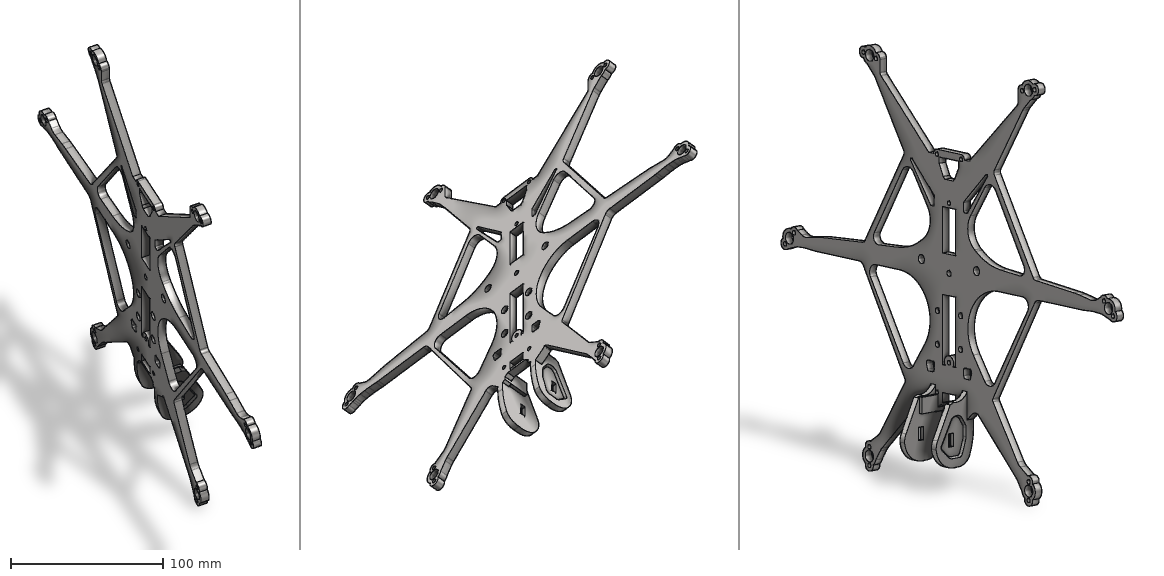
import cadquery as cq
import math

PLATE_T = 6.0
DEPTH = 33.3
SPAN_X = 326.8
HEIGHT_Z = 285.0

BORE_D = 8.0
SCREW_D = 3.0
PAD_R = 6.5
EAR_R = 4.0
SCREW_OFFSET = 6.2
UPPER_EAR_ANGLE = -11.5
MIDDLE_EAR_ANGLE = 45.0
LOWER_EAR_ANGLE = 90.0
EAR_REACH_X = SCREW_OFFSET * math.cos(math.radians(MIDDLE_EAR_ANGLE)) + EAR_R
UPPER_MOUNT = (-77.0, HEIGHT_Z / 2 - PAD_R)
MIDDLE_MOUNT = (EAR_REACH_X - SPAN_X / 2, 1.5)
LOWER_MOUNT = (-77.5, SCREW_OFFSET + EAR_R - HEIGHT_Z / 2)
MOUNTS = [
    (UPPER_MOUNT, UPPER_EAR_ANGLE),
    (MIDDLE_MOUNT, MIDDLE_EAR_ANGLE),
    (LOWER_MOUNT, LOWER_EAR_ANGLE),
]

EDGE_SCREW_X = 11.8
EDGE_SCREW_Z = 79.7
EDGE_EAR_R = 3.3
TOP_Z = EDGE_SCREW_Z + EDGE_EAR_R

LUG_OUTER_X = -17.5
LUG_T = 4.5

GUSSET_OUTER_X = -14.7
GUSSET_INNER_X = -10.8
GUSSET_TOP_Z = -81.0
GUSSET_BOTTOM_Z = -92.0
GUSSET_BACK_Y = 20.0

NOTCH_TOP_Z = -87.5
ARM_BOTTOM_Z = -3.3

HALF_OUTLINE = [
    (0, TOP_Z, 0),
    (-EDGE_SCREW_X, TOP_Z, 0),
    (-15.0, 79.7, 0),
    (-19.5, 79.7, 0),
    (-67.0, 124.8, 2.5),
    (-67.0, 137.2, 2.3),
    (*UPPER_MOUNT, 0),
    (-83.0, 133.3, 0),
    (-72.2, 122.5, 9.8),
    (-43.0, 75.8, 3.3),
    (-82.7, 9.8, 3.3),
    (-124.2, 7.0, 65.5),
    (-140.5, 4.2, 8.2),
    (-149.5, 9.5, 0),
    (*MIDDLE_MOUNT, 0),
    (-158.0, -6.2, 0),
    (-148.7, -3.1, 16.5),
    (-140.5, -2.5, 32.7),
    (-130.7, ARM_BOTTOM_Z, 32.7),
    (-84.5, ARM_BOTTOM_Z, 5.0),
    (-42.0, -76.8, 2.0),
    (-67.5, -116.3, 9.8),
    (-76.5, -122.2, 0),
    (*LOWER_MOUNT, 0),
    (-74.0, -138.2, 0),
    (-66.0, -126.0, 13.0),
    (-25.8, -86.3, 4.5),
    (LUG_OUTER_X, -93.8, 0),
    (LUG_OUTER_X + LUG_T, -93.0, 0),
    (GUSSET_INNER_X, GUSSET_BOTTOM_Z, 0),
    (GUSSET_INNER_X, -89.5, 0),
    (-8.2, NOTCH_TOP_Z, 0),
    (0, NOTCH_TOP_Z, 0),
]

UPPER_WINDOW = [
    (-40.2, 72.5, 6.2),
    (-77.5, 9.8, 5.0),
    (-37.0, 12.5, 45.7),
    (-12.5, 30.5, 16.5),
]
LOWER_WINDOW = [(-81.7, ARM_BOTTOM_Z, 6.0), (-40.0, -73.0, 6.0), (8.2, ARM_BOTTOM_Z, 29.5)]
DIAGONAL_SLOT = [
    (-38.2, 73.2, 0.5),
    (-36.0, 73.2, 0.5),
    (-14.5, 51.5, 1.0),
    (-14.5, 44.5, 1.0),
    (-17.5, 44.5, 1.0),
]
CABLE_HOLE = [(-22.5, -59.5, 2.0), (-14.5, -59.5, 1.0), (-14.5, -66.5, 2.0), (-20.5, -66.5, 1.3)]
HALF_OPENINGS = [UPPER_WINDOW, LOWER_WINDOW, DIAGONAL_SLOT, CABLE_HOLE]

SLOT_W = 12.5
CENTRE_SLOTS_Z = [(14.5, 45.5), (-60.5, -13.5), (-85.5, -79.0)]
TOP_OPENING = [
    (-9.5, 78.0), (-9.5, 74.0), (-5.5, 65.7), (-4.0, 64.0),
    (4.0, 64.0), (5.5, 65.7), (9.5, 74.0), (9.5, 78.0),
]
TONGUE_Z = -58.0
TONGUE_R = 4.5

CENTRE_HOLES = [(0, 48.7, 3.0), (0, 1.5, 4.0), (0, TONGUE_Z, 3.0)]
SIDE_HOLES = [
    (-26.8, 7.2, 6.0),
    (-EDGE_SCREW_X, EDGE_SCREW_Z, SCREW_D),
    (-EDGE_SCREW_X, -EDGE_SCREW_Z, SCREW_D),
]

BOARD_PITCH = 22.5
BOARD_Z = -36.3
BOARD_HOLE_D = 4.0
BOARD_BORE_D = 6.0
BOARD_BORE_DEPTH = 3.0

RECESS_DEPTH = 1.5
RECESS_TAPER = 35
LUG_WINDOW_Y = 18.5
LUG_WINDOW_Z = -106.0
LUG_WINDOW_W = 4.0
LUG_WINDOW_H = 8.8
RECESS = [
    (15.5, -84.0, 5.5),
    (29.5, -110.0, 2.3),
    (21.0, -118.0, 5.0),
    (10.8, -118.0, 3.3),
    (7.0, -106.2, 9.8),
    (7.0, -97.5, 3.3),
]

LUG_FRONT_TOP = (0, -91.5)
LUG_FRONT_FOOT = (0, -99.3)
LUG_FOOT_MID = (1.0, -108.8)
LUG_FOOT_END = (3.5, -118.0)
LUG_HEEL_MID = (8.0, -122.5)
LUG_BOTTOM = (15.0, -124.2)
LUG_BELLY_MID = (28.0, -120.2)
LUG_BACK = (DEPTH, -110.0)
LUG_BACK_MID = (33.0, -107.0)
LUG_SLOPE_FOOT = (32.0, -104.2)
LUG_SLOPE_TOP = (21.0, -81.7)
LUG_SHOULDER = (17.5, -80.5)
LUG_NECK_MID = (8.8, -78.5)
LUG_NECK_END = (PLATE_T, -74.8)
LUG_ROOT = (PLATE_T, -91.5)

FLARE_X = 1.5
FLARE_Y = 3.0
FLARE_BEND = 0.3
FLARE_TOP_Z = -80.5
FLARE_BOTTOM_Z = -91.5

FOOT_WEB = [(17.3, -95.5), (17.3, -91.5), (23.5, -87.5), (26.8, -88.2)]


def rounded_wire(plane, corners):
    """Closed outline through corners (u, v, radius), each rounded by a tangent arc."""
    count = len(corners)
    path = None
    for i, (u, v, radius) in enumerate(corners):
        corner = cq.Vector(u, v)
        to_last = (cq.Vector(*corners[i - 1][:2]) - corner).normalized()
        to_next = (cq.Vector(*corners[(i + 1) % count][:2]) - corner).normalized()
        half = to_last.getAngle(to_next) / 2
        reach = radius / math.tan(half)
        start = corner + to_last * reach
        path = path.lineTo(start.x, start.y) if path else cq.Workplane(plane).moveTo(start.x, start.y)
        if radius > 0:
            inward = (to_last + to_next).normalized()
            middle = corner + inward * (radius / math.sin(half) - radius)
            end = corner + to_next * reach
            path = path.threePointArc((middle.x, middle.y), (end.x, end.y))
    return path.close()


def discs(points, diameter, length=PLATE_T):
    """Cylinders along +Y from the plate front at the given (x, z) points."""
    return cq.Workplane("XZ").pushPoints(points).circle(diameter / 2).extrude(-length)


def through_plate(wire):
    return wire.extrude(-PLATE_T)


def mount_screws(centre, angle):
    dx = SCREW_OFFSET * math.cos(math.radians(angle))
    dz = SCREW_OFFSET * math.sin(math.radians(angle))
    return [(centre[0] + side * dx, centre[1] + side * dz) for side in (-1, 1)]


def make_half_plate():
    plate = through_plate(rounded_wire("XZ", HALF_OUTLINE))
    plate = plate.union(discs([(-EDGE_SCREW_X, EDGE_SCREW_Z)], 2 * EDGE_EAR_R))
    for centre, angle in MOUNTS:
        plate = plate.union(discs([centre], 2 * PAD_R))
        plate = plate.union(discs(mount_screws(centre, angle), 2 * EAR_R))
    for centre, angle in MOUNTS:
        plate = plate.cut(discs([centre], BORE_D))
        plate = plate.cut(discs(mount_screws(centre, angle), SCREW_D))
    for corners in HALF_OPENINGS:
        plate = plate.cut(through_plate(rounded_wire("XZ", corners)))
    for x, z, diameter in SIDE_HOLES:
        plate = plate.cut(discs([(x, z)], diameter))
    board_holes = [(-BOARD_PITCH / 2, BOARD_Z + side * BOARD_PITCH / 2) for side in (-1, 1)]
    plate = plate.cut(discs(board_holes, BOARD_HOLE_D))
    return plate.cut(discs(board_holes, BOARD_BORE_D, length=BOARD_BORE_DEPTH))


def make_lug():
    lug = (
        cq.Workplane("YZ", origin=(LUG_OUTER_X, 0, 0))
        .moveTo(*LUG_FRONT_TOP)
        .lineTo(*LUG_FRONT_FOOT)
        .threePointArc(LUG_FOOT_MID, LUG_FOOT_END)
        .threePointArc(LUG_HEEL_MID, LUG_BOTTOM)
        .threePointArc(LUG_BELLY_MID, LUG_BACK)
        .threePointArc(LUG_BACK_MID, LUG_SLOPE_FOOT)
        .lineTo(*LUG_SLOPE_TOP)
        .lineTo(*LUG_SHOULDER)
        .threePointArc(LUG_NECK_MID, LUG_NECK_END)
        .lineTo(*LUG_ROOT)
        .close()
        .extrude(LUG_T)
    )
    outer_face = cq.Plane(origin=(LUG_OUTER_X, 0, 0), xDir=(0, 1, 0), normal=(1, 0, 0))
    recess = rounded_wire(outer_face, RECESS)
    lug = lug.cut(recess.extrude(RECESS_DEPTH, taper=RECESS_TAPER))
    window = cq.Workplane("XY").box(3 * LUG_T, LUG_WINDOW_W, LUG_WINDOW_H)
    return lug.cut(window.translate((LUG_OUTER_X, LUG_WINDOW_Y, LUG_WINDOW_Z)))


def make_flare():
    bend = (LUG_OUTER_X - FLARE_BEND * FLARE_X, PLATE_T + FLARE_BEND * FLARE_Y)
    return (
        cq.Workplane("XY", origin=(0, 0, FLARE_BOTTOM_Z))
        .moveTo(LUG_OUTER_X, PLATE_T)
        .lineTo(LUG_OUTER_X, PLATE_T + FLARE_Y)
        .threePointArc(bend, (LUG_OUTER_X - FLARE_X, PLATE_T))
        .close()
        .extrude(FLARE_TOP_Z - FLARE_BOTTOM_Z)
    )


def make_gusset():
    size = (GUSSET_INNER_X - GUSSET_OUTER_X, GUSSET_BACK_Y - PLATE_T, GUSSET_TOP_Z - GUSSET_BOTTOM_Z)
    corner = (GUSSET_OUTER_X, PLATE_T, GUSSET_BOTTOM_Z)
    return cq.Workplane("XY").box(*size, centered=False).translate(corner)


def shape_centre_line(body):
    for bottom, top in CENTRE_SLOTS_Z:
        slot = cq.Workplane("XZ").center(0, (bottom + top) / 2).rect(SLOT_W, top - bottom)
        body = body.cut(through_plate(slot))
    body = body.cut(through_plate(cq.Workplane("XZ").polyline(TOP_OPENING).close()))
    body = body.union(discs([(0, TONGUE_Z)], 2 * TONGUE_R))
    for x, z, diameter in CENTRE_HOLES:
        body = body.cut(discs([(x, z)], diameter))
    return body


half = make_half_plate().union(make_lug()).union(make_flare()).union(make_gusset())
foot_web = through_plate(cq.Workplane("XZ").polyline(FOOT_WEB).close())
result = shape_centre_line(half.union(half.mirror("YZ"))).union(foot_web)